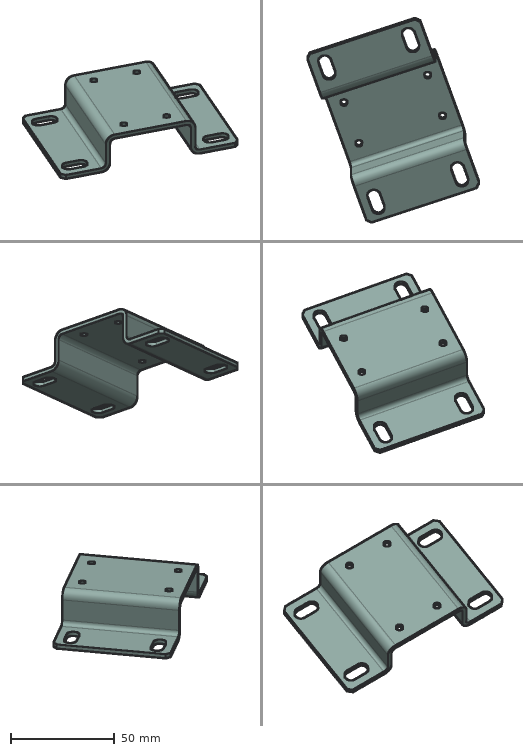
import cadquery as cq

width = 57.8
length = 91.0
height = 20.0

thickness = 2.3
inner_radius = 2.3
outer_radius = inner_radius + thickness
hat_length = 46.0
corner_chamfer = 2.0

side_margin = 7.5
hole_spacing_x = width - 2 * side_margin
screw_diameter = 3.24
screw_spacing_y = 22.0
slot_width = 6.2
slot_length = 12.6
slot_spacing_y = 72.5


def raised_block(block_length, block_height, top_radius):
    """Box across the full width, standing on Z = 0, with rounded upper edges."""
    block = cq.Workplane("XY").box(width, block_length, block_height, centered=(True, True, False))
    return block.edges("|X and >Z").fillet(top_radius)


def make_hat_sheet():
    """Hat-shaped sheet: two feet, two upright walls and a raised deck."""
    feet = cq.Workplane("XY").box(width, length, thickness, centered=(True, True, False))
    hat = raised_block(hat_length, height, outer_radius)
    sheet = feet.union(hat)
    foot_bends = cq.selectors.BoxSelector(
        (-width, -hat_length / 2 - thickness / 2, thickness / 2),
        (width, hat_length / 2 + thickness / 2, thickness * 3 / 2),
    )
    sheet = sheet.edges("|X").edges(foot_bends).fillet(inner_radius)

    tunnel_length = hat_length - 2 * thickness
    tunnel = raised_block(tunnel_length, height - thickness, inner_radius)
    sheet = sheet.cut(tunnel)
    tunnel_mouth = cq.selectors.BoxSelector(
        (-width, -hat_length / 2, -thickness / 2),
        (width, hat_length / 2, thickness / 2),
    )
    return sheet.edges("|X").edges(tunnel_mouth).fillet(outer_radius)


def chamfer_feet(sheet):
    """Cut the four outer corners of the feet at 45 degrees."""
    outline = cq.Workplane("XY").rect(width, length).extrude(height)
    return sheet.intersect(outline.edges("|Z").chamfer(corner_chamfer))


def cut_slots(sheet):
    """Two mounting slots through each foot, long in Y."""
    slots = (
        cq.Workplane("XY")
        .rarray(hole_spacing_x, slot_spacing_y, 2, 2)
        .slot2D(slot_length, slot_width, 90)
        .extrude(height)
    )
    return sheet.cut(slots)


def cut_screw_holes(sheet):
    """Four screw holes through the deck."""
    holes = (
        cq.Workplane("XY")
        .rarray(hole_spacing_x, screw_spacing_y, 2, 2)
        .circle(screw_diameter / 2)
        .extrude(height)
    )
    return sheet.cut(holes)


result = make_hat_sheet()
result = chamfer_feet(result)
result = cut_slots(result)
result = cut_screw_holes(result)